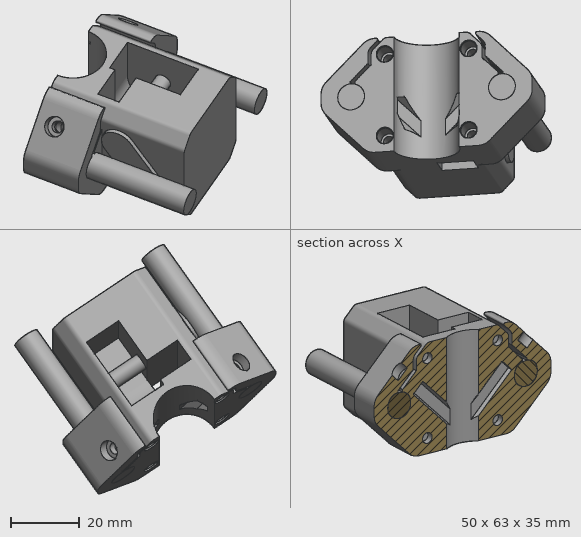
import cadquery as cq
import math

SQRT2 = math.sqrt(2)
SIDES = (-1, 1)

body_length = 45.0
body_half_width = 16.5
half_height = 17.5
body_bevel = 4.0
body_edge_radius = 2.0

tube_seat_radius = 9.75

clamp_length = 18.0
clamp_half_width = 31.5
clamp_flat_half_height = 3.5
clamp_edge_radius = 5.0
rod_diameter = 8.0
rod_length = 50.0
rod_y = 22.5

jaw_gap = 1.0
jaw_tip_y = 14.6
jaw_tip_radius = 0.5
gap_corner_z = 9.5
gap_leg_y = 21.35

screw_x = 6.0
screw_offset_from_rod = 7.5
screw_hole_diameter = 3.5
screw_head_diameter = 6.0
screw_head_depth = 3.0
nut_corner_diameter = 7.0
nut_wall = 4.5

insert_pitch = 25.0
insert_mouth_diameter = 5.0
insert_mouth_depth = 0.5
insert_diameter = 4.7
insert_depth = 6.0
insert_pilot_diameter = 3.2
insert_pilot_depth = 10.0

link_centre_x = 28.88
link_half_run = 5.15
link_half_rise = 6.45
link_radius = 5.3
link_clearance = 0.1
link_outer_y = -17.7
link_recess_depth = 3.0

pin_diameter = 5.0
pin_x = link_centre_x - link_half_run
pin_z = link_half_rise
pin_socket_depth = 3.0

pocket_half_length = 11.6
pocket_y_min = -0.18
pocket_y_max = 11.2
pocket_floor_z = pin_z - pocket_half_length
pocket_corner_radius = 8.15

block_clearance = 0.2
block_height = 3.0
block_front_x = pin_x + pin_diameter / 2 + block_clearance / 2

slot_x_min = 13.85
slot_x_max = 20.8
slot_y_min = -11.0


def build_block():
    """Bevelled bar, full length."""
    return (
        cq.Workplane("YZ")
        .rect(2 * body_half_width, 2 * half_height)
        .extrude(body_length)
        .edges("|X")
        .chamfer(body_bevel)
        .edges("|X")
        .fillet(body_edge_radius)
    )


def build_clamp_bar():
    """Eight-sided bar that both clamps are cut from."""
    slope_drop = half_height - clamp_flat_half_height
    return (
        cq.Workplane("YZ")
        .rect(2 * clamp_half_width, 2 * half_height)
        .extrude(clamp_length)
        .edges("|X")
        .chamfer(slope_drop)
        .edges("|X")
        .fillet(clamp_edge_radius)
    )


def build_jaw_clearance(side):
    """Space under one jaw: it follows the block bevel, then slants down to the rod bore."""
    slant = jaw_gap * SQRT2
    jaw_y = body_half_width + jaw_gap
    bevel_sum = body_half_width + half_height - body_bevel + slant
    lower_sum = body_half_width + gap_corner_z + slant
    leg_top_z = body_half_width + gap_corner_z - gap_leg_y
    corner_radius = body_edge_radius + jaw_gap
    above_top = half_height + jaw_gap
    tangent = corner_radius * math.tan(math.pi / 8)
    corner_z = bevel_sum - jaw_y
    arc_centre_y = jaw_y - corner_radius
    arc_centre_z = corner_z - tangent
    arc_mid_y = arc_centre_y + corner_radius * math.cos(math.pi / 8)
    arc_mid_z = arc_centre_z + corner_radius * math.sin(math.pi / 8)
    arc_start_y = jaw_y - tangent / SQRT2
    return (
        cq.Workplane("YZ")
        .moveTo(side * gap_leg_y, 0)
        .lineTo(side * gap_leg_y, leg_top_z)
        .lineTo(side * body_half_width, gap_corner_z)
        .lineTo(0, gap_corner_z)
        .lineTo(0, above_top)
        .lineTo(side * jaw_tip_y, above_top)
        .lineTo(side * jaw_tip_y, bevel_sum - jaw_tip_y)
        .lineTo(side * arc_start_y, bevel_sum - arc_start_y)
        .threePointArc((side * arc_mid_y, arc_mid_z), (side * jaw_y, arc_centre_z))
        .lineTo(side * jaw_y, lower_sum - jaw_y)
        .lineTo(side * (gap_leg_y + slant), leg_top_z)
        .lineTo(side * (gap_leg_y + slant), 0)
        .close()
        .extrude(clamp_length)
    )


def build_clamps():
    """Clamp bar with a sprung, round-tipped jaw on each side."""
    clamps = build_clamp_bar()
    for side in SIDES:
        clamps = clamps.cut(build_jaw_clearance(side))
    tip_reach = jaw_tip_y + jaw_tip_radius / 2
    tip_edges = cq.selectors.BoxSelector(
        (0, -tip_reach, half_height - jaw_tip_radius / 2),
        (clamp_length, tip_reach, half_height + jaw_tip_radius / 2),
    )
    return clamps.edges(tip_edges).edges("|X").fillet(jaw_tip_radius)


def build_screw_cut(side):
    """Clamp screw hole with head counterbore outside and a hexagonal nut channel inside."""
    axis_shift = rod_y - screw_offset_from_rod * SQRT2
    face_distance = (clamp_half_width + clamp_flat_half_height + axis_shift) / SQRT2
    nut_seat = (body_half_width + gap_corner_z + axis_shift) / SQRT2 - nut_wall
    axis = cq.Plane(origin=(screw_x, 0, -axis_shift), xDir=(1, 0, 0), normal=(0, side, 1))
    hole = cq.Workplane(axis).circle(screw_hole_diameter / 2).extrude(face_distance)
    head = (
        cq.Workplane(axis)
        .workplane(offset=face_distance - screw_head_depth)
        .circle(screw_head_diameter / 2)
        .extrude(2 * screw_head_depth)
    )
    nut_channel = (
        cq.Workplane(axis)
        .transformed(rotate=(0, 0, 30))
        .polygon(6, nut_corner_diameter)
        .extrude(nut_seat)
    )
    return hole.union(head).union(nut_channel)


def build_front_holes(diameter, depth):
    """One hole at each corner of the insert pattern, from the front face."""
    return (
        cq.Workplane("YZ")
        .rect(insert_pitch, insert_pitch, forConstruction=True)
        .vertices()
        .circle(diameter / 2)
        .extrude(depth)
    )


def build_link_shape(radius, y_from, y_to):
    """Round-ended slanted plate between two Y positions."""
    pitch = 2 * math.hypot(link_half_run, link_half_rise)
    tilt = math.degrees(math.atan2(link_half_rise, link_half_run))
    return (
        cq.Workplane("XZ", origin=(link_centre_x, y_from, 0))
        .slot2D(pitch + 2 * radius, 2 * radius, -tilt)
        .extrude(y_from - y_to)
    )


def build_rod(side, length):
    """Round rod flush with the front face."""
    return cq.Workplane("YZ").center(side * rod_y, 0).circle(rod_diameter / 2).extrude(length)


def build_pin():
    """Pin from the inner face of the link, across the pocket, into a blind socket."""
    y_from = link_recess_depth - body_half_width
    y_to = pocket_y_max + pin_socket_depth
    return (
        cq.Workplane("XZ", origin=(pin_x, y_from, pin_z))
        .circle(pin_diameter / 2)
        .extrude(y_from - y_to)
    )


def build_pocket():
    """Open-topped roller pocket."""
    x_min = pin_x - pocket_half_length
    x_max = pin_x + pocket_half_length
    arc_x = x_min + pocket_corner_radius
    arc_z = pocket_floor_z + pocket_corner_radius
    reach = pocket_corner_radius / SQRT2
    return (
        cq.Workplane("XZ", origin=(0, pocket_y_min, 0))
        .moveTo(x_min, half_height)
        .lineTo(x_min, arc_z)
        .threePointArc((arc_x - reach, arc_z - reach), (arc_x, pocket_floor_z))
        .lineTo(x_max, pocket_floor_z)
        .lineTo(x_max, half_height)
        .close()
        .extrude(pocket_y_min - pocket_y_max)
    )


def build_floor_block():
    """Block on the pocket floor, with clearance to the pocket walls around it."""
    length = pin_x + pocket_half_length - block_clearance - block_front_x
    width = pocket_y_max - pocket_y_min - 2 * block_clearance
    corner = (block_front_x, pocket_y_min + block_clearance, pocket_floor_z)
    return cq.Workplane("XY", origin=corner).box(length, width, block_height, centered=False)


def build_through_slot():
    """Rectangular slot from top to bottom, next to the pocket."""
    return (
        cq.Workplane("XY", origin=(slot_x_min, slot_y_min, -half_height))
        .box(slot_x_max - slot_x_min, pocket_y_min - slot_y_min, 2 * half_height, centered=False)
    )


def build_housing():
    """Block and clamps with every seat, hole and recess cut."""
    tube = cq.Workplane("XY").circle(tube_seat_radius).extrude(half_height, both=True)
    housing = build_block().union(build_clamps())
    housing = housing.cut(tube)
    for side in SIDES:
        housing = housing.cut(build_rod(side, clamp_length))
        housing = housing.cut(build_screw_cut(side))
    housing = housing.cut(build_front_holes(insert_mouth_diameter, insert_mouth_depth))
    housing = housing.cut(build_front_holes(insert_diameter, insert_depth))
    housing = housing.cut(build_front_holes(insert_pilot_diameter, insert_pilot_depth))
    housing = housing.cut(build_pocket())
    housing = housing.cut(build_through_slot())
    recess_floor_y = link_recess_depth - body_half_width
    housing = housing.cut(
        build_link_shape(link_radius + link_clearance, recess_floor_y, link_outer_y)
    )
    return housing.cut(build_pin())


housing = build_housing()
rods = [build_rod(side, rod_length) for side in SIDES]
link = build_link_shape(link_radius, link_recess_depth - body_half_width, link_outer_y)
pin = build_pin()
floor_block = build_floor_block()

result = cq.Compound.makeCompound(
    [housing.val(), *[rod.val() for rod in rods], link.val(), pin.val(), floor_block.val()]
)